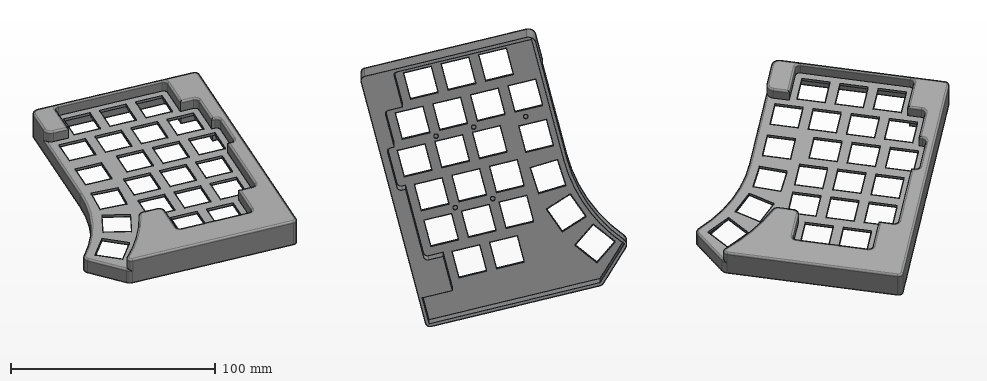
import cadquery as cq
import math

length = 132.95
width = 105.56
height = 14.1
deck_height = 8.1
deck_thickness = 1.5
edge_round = 1.0

left = -length / 2
right = length / 2
back = width / 2
front = -35.2

key_size = 14.0
key_pitch = 19.0
first_column_x = -54.4
reference_row_y = 34.05
columns = [(-9.0, 3), (0.0, 4), (3.8, 3), (0.0, 3), (0.0, 3), (-9.4, 2)]
thumb_keys = [
    (-14.0, reference_row_y - 3 * key_pitch, 0),
    (7.8, -23.45, -3),
    (28.15, -27.5, -19.5),
    (46.9, -37.35, -36),
]

key_margin = 10.45
cavity_clearance = 0.8
well_corner = 2.1
nose_left = 31.2
nose_back = -4.6
nose_corner = 3.1
nose_tip_round = 2.1

arc_x = -1.1
front_arc_radius = 75.0
front_arc_y = front - front_arc_radius
nose_arc_radius = 96.15
nose_arc_y = -107.6

back_corner = 2.4
front_corner = 3.8
thumb_tip_corner = 3.3
thumb_side_corner = 3.8
thumb_side_y = -36.0

pin_hole_diameter = 2.2
pin_hole_skin = 0.9
front_pin_x = -24.9
front_pin_y = -20.5

reach = 10.0


def column_x(index):
    return first_column_x + index * key_pitch


def column_y(index):
    """Y of the rearmost key of a column."""
    return reference_row_y + columns[index][0]


def arc_point(radius, centre_y, x):
    """Point at the given x on the back half of a circle centred on the thumb arc axis."""
    return (x, centre_y + math.sqrt(radius**2 - (x - arc_x) ** 2))


def front_arc_point(x):
    return arc_point(front_arc_radius, front_arc_y, x)


def nose_arc_point(x):
    return arc_point(nose_arc_radius, nose_arc_y, x)


def diagonal_meeting(radius, side_x, side_y):
    """Where the 45 degree line falling to the left from (side_x, side_y) meets the front arc."""
    offset = side_x - side_y - arc_x + front_arc_y
    angle = math.asin(offset / (radius * math.sqrt(2))) + math.pi / 4
    return (arc_x + radius * math.sin(angle), front_arc_y + radius * math.cos(angle))


def round_corners(solid, corners):
    """Round the vertical edges standing at the given (x, y, radius) corners."""
    for x, y, radius in corners:
        solid = solid.edges(cq.selectors.BoxSelector((x - 0.1, y - 0.1, -1000), (x + 0.1, y + 0.1, 1000)))
        solid = solid.fillet(radius)
    return solid


def stepped_back(margin):
    """Stepped outline, at a margin around the keys, behind the six columns from left to right."""
    points = [(well_left, column_y(0) + margin)]
    for index in range(len(columns) - 1):
        this_y = column_y(index) + margin
        next_y = column_y(index + 1) + margin
        if this_y == next_y:
            continue
        step_x = column_x(index + 1) - margin if next_y > this_y else column_x(index) + margin
        points += [(step_x, this_y), (step_x, next_y)]
    return points


well_left = column_x(0) - key_margin
well_right = column_x(5) + key_margin
block_right = column_x(1) - key_margin
block_back = column_y(0) - 2 * key_pitch - key_margin
well_back = stepped_back(key_margin)


def back_corners(points, radius):
    """Corners of a stepped back outline that are rounded; re-entrant ones stay sharp."""
    return [(*points[i], radius) for i in (0, 2, 4, 5, 7)]


def base_body():
    """Low body under the key deck, with its top edge rounded."""
    tip = diagonal_meeting(front_arc_radius, right, thumb_side_y)
    body = (
        cq.Workplane("XY")
        .moveTo(left, back)
        .lineTo(left, front)
        .lineTo(arc_x, front)
        .threePointArc(front_arc_point((arc_x + tip[0]) / 2), tip)
        .lineTo(right, thumb_side_y)
        .lineTo(right, back)
        .close()
        .extrude(deck_height)
    )
    corners = [
        (left, back, back_corner),
        (right, back, back_corner),
        (left, front, front_corner),
        (*tip, thumb_tip_corner),
        (right, thumb_side_y, thumb_side_corner),
    ]
    return round_corners(body, corners).faces(">Z").edges().fillet(edge_round)


def raised_rim():
    """Full-height rim around the well; its left side is overlong, to be trimmed."""
    nose_start = nose_arc_point(nose_left)
    nose_end = nose_arc_point(right)
    rim = (
        cq.Workplane("XY")
        .moveTo(left - reach, back)
        .lineTo(left - reach, front)
        .lineTo(block_right, front)
        .lineTo(block_right, block_back)
        .lineTo(well_left, block_back)
    )
    for point in well_back:
        rim = rim.lineTo(*point)
    rim = (
        rim.lineTo(well_right, column_y(5) + key_margin)
        .lineTo(well_right, nose_back)
        .lineTo(nose_left, nose_back)
        .lineTo(*nose_start)
        .threePointArc(nose_arc_point((nose_left + right) / 2), nose_end)
        .lineTo(right, back)
        .close()
        .extrude(height)
    )
    corners = back_corners(well_back, well_corner) + [
        (well_left, block_back, well_corner),
        (block_right, front, front_corner),
        (right, back, back_corner),
        (well_right, column_y(5) + key_margin, well_corner),
        (well_right, nose_back, well_corner),
        (nose_left, nose_back, nose_corner),
        (*nose_start, nose_corner),
        (*nose_end, nose_tip_round),
    ]
    return round_corners(rim, corners).faces(">Z").edges().fillet(edge_round)


def left_envelope():
    """Rounded left end of the case, running past the part on its other sides."""
    envelope = (
        cq.Workplane("XY")
        .moveTo(left, back)
        .lineTo(left, front)
        .lineTo(arc_x, front)
        .lineTo(arc_x, -back - reach)
        .lineTo(right + reach, -back - reach)
        .lineTo(right + reach, back)
        .close()
        .extrude(height)
    )
    corners = [(left, back, back_corner), (left, front, front_corner)]
    return round_corners(envelope, corners).faces(">Z").edges().fillet(edge_round)


def cavity():
    """Space under the deck, open at the bottom, with a bay along the right side."""
    wall = well_left - left
    inner_right = right - wall
    inner_side_y = thumb_side_y + wall * (math.sqrt(2) - 1)
    inner_radius = front_arc_radius + wall
    tip = diagonal_meeting(inner_radius, inner_right, inner_side_y)
    arc_middle = arc_point(inner_radius, front_arc_y, (arc_x + tip[0]) / 2)
    cavity_back = stepped_back(key_margin + cavity_clearance)
    space = cq.Workplane("XY").moveTo(well_left, front + wall)
    for point in cavity_back:
        space = space.lineTo(*point)
    space = (
        space.lineTo(well_right, cavity_back[-1][1])
        .lineTo(well_right, back - wall)
        .lineTo(inner_right, back - wall)
        .lineTo(inner_right, inner_side_y)
        .lineTo(*tip)
        .threePointArc(arc_middle, (arc_x, front + wall))
        .close()
        .extrude(deck_height - deck_thickness)
    )
    return round_corners(space, back_corners(cavity_back, well_corner))


def key_openings():
    spots = [
        (column_x(i), reference_row_y + shift - row * key_pitch, 0)
        for i, (shift, count) in enumerate(columns)
        for row in range(count)
    ]
    openings = cq.Workplane("XY")
    for x, y, angle in spots + thumb_keys:
        opening = cq.Workplane("XY").rect(key_size, key_size).extrude(height)
        openings = openings.add(opening.rotate((0, 0, 0), (0, 0, 1), angle).translate((x, y, 0)))
    return openings.combine()


def pin_holes():
    """Blind holes rising into the deck from the cavity, between the keys."""
    deck_underside = deck_height - deck_thickness
    second_gap_x = column_x(1.5)
    fourth_gap_x = column_x(3.5)
    first_gap_y = reference_row_y - key_pitch / 2
    second_gap_y = first_gap_y - key_pitch
    spots = [
        (second_gap_x, first_gap_y),
        (second_gap_x, second_gap_y),
        (fourth_gap_x, first_gap_y),
        (fourth_gap_x, second_gap_y),
        (front_pin_x, front_pin_y),
    ]
    holes = cq.Workplane("XY").workplane(offset=deck_underside)
    return holes.pushPoints(spots).circle(pin_hole_diameter / 2).extrude(deck_thickness - pin_hole_skin)


case = raised_rim().intersect(left_envelope()).union(base_body())
result = case.cut(cavity()).cut(key_openings()).cut(pin_holes())